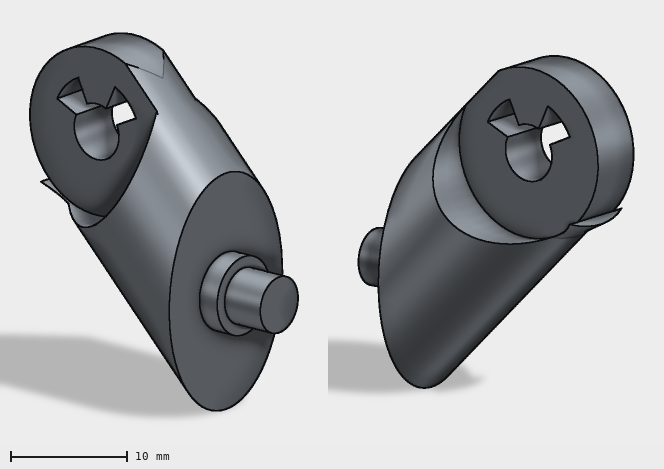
import cadquery as cq
import math

body_diameter = 15.0
body_radius = body_diameter / 2
disk_thickness = 5.0
bore_diameter = 5.0
keyway_radius = 4.9
keyway_width_angle = 40
keyway_angles = (45, 135)

arm_drop_angle = 45
face_x = 12.4
face_z = -face_x * math.tan(math.radians(arm_drop_angle))

lip_radius = 8.35
lip_length = 2.9

shoulder_diameter = 7.0
shoulder_length = 2.0
pin_diameter = 5.0
pin_length = 4.0

clearance = 2 * body_diameter


def y_cylinder(radius, length):
    """Cylinder along Y, centred on the origin."""
    return cq.Workplane("XZ").circle(radius).extrude(length / 2, both=True)


def make_arm():
    """Round arm along X with a conical lip, tilted down and cut off square to X."""
    arm = cq.Workplane("YZ").circle(body_radius).extrude(clearance)
    lip_profile = [(0, 0), (0, -lip_radius), (lip_length, -body_radius), (lip_length, 0)]
    lip = (
        cq.Workplane("XZ")
        .polyline(lip_profile)
        .close()
        .revolve(180, (0, 0, 0), (1, 0, 0))
        .rotate((0, 0, 0), (1, 0, 0), -90)
    )
    arm = arm.union(lip).rotate((0, 0, 0), (0, 1, 0), arm_drop_angle)
    beyond_face = cq.Workplane("YZ", origin=(face_x, 0, 0)).rect(4 * clearance, 4 * clearance)
    return arm.cut(beyond_face.extrude(clearance))


def make_disk():
    """Disk whose upper slope is trimmed to the round surface of the arm."""
    envelope = cq.Workplane("YZ").circle(body_radius).extrude(clearance, both=True)
    lower_half = cq.Workplane("XY").rect(2 * clearance, 2 * clearance).extrude(-clearance)
    envelope = envelope.union(lower_half).rotate((0, 0, 0), (0, 1, 0), arm_drop_angle)
    return y_cylinder(body_radius, disk_thickness).intersect(envelope)


def make_keyway(angle):
    """Sector-shaped cutter with radial sides, opening into the bore."""
    def point(offset):
        turn = math.radians(angle + offset)
        return keyway_radius * math.cos(turn), keyway_radius * math.sin(turn)

    half_angle = keyway_width_angle / 2
    return (
        cq.Workplane("XZ")
        .lineTo(*point(-half_angle))
        .threePointArc(point(0), point(half_angle))
        .close()
        .extrude(disk_thickness, both=True)
    )


def make_mounting_pin():
    """Shoulder and pin, centred on the slanted face of the arm."""
    return (
        cq.Workplane("YZ", origin=(face_x, 0, face_z))
        .circle(shoulder_diameter / 2)
        .extrude(shoulder_length)
        .faces(">X")
        .workplane()
        .circle(pin_diameter / 2)
        .extrude(pin_length)
    )


result = make_arm().cut(y_cylinder(body_radius, clearance))
result = result.union(make_disk())
result = result.union(make_mounting_pin())

result = result.cut(y_cylinder(bore_diameter / 2, clearance))
for keyway_angle in keyway_angles:
    result = result.cut(make_keyway(keyway_angle))